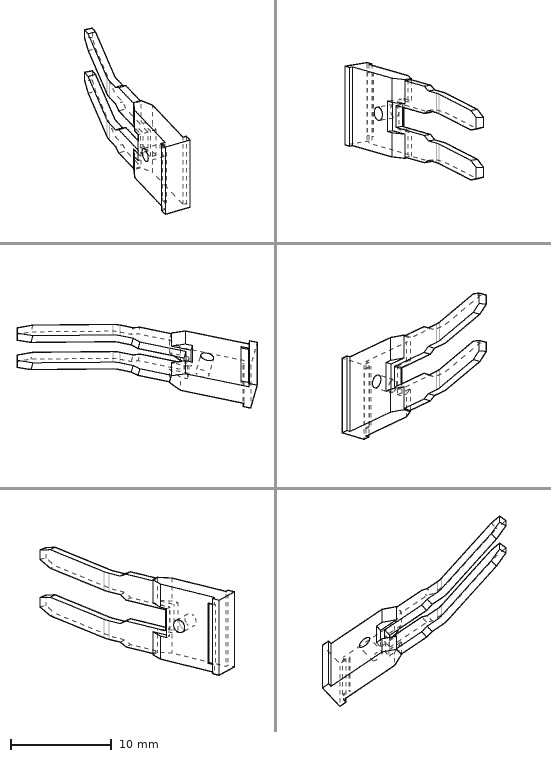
import cadquery as cq
import math

length = 23.7
height = 8.0

body_thickness = 2.01
flange_thickness = 2.77
flange_x = 22.9
taper_start_x = 15.14
taper_end_x = 16.45
notch_end_x = 17.15
hole_x = 18.67
hole_diameter = 1.33

recess_x = 22.13
recess_height = 6.4
recess_depth = 0.15

plate_thickness = 0.8
plate_y = -0.035
slot_end_x = 16.63
shoulder_x = 11.95
shoulder_length = 0.69
wide_outer_z = 3.89
wide_inner_z = 1.11
prong_outer_z = 3.53
prong_inner_z = 1.55
tip_length = 1.52
tip_half_height = 0.5
bend_start_x = 9.93
bend_end_x = 9.22
bend_angle = math.radians(14.2)


def extrude_along_y(outline):
    """Extrude an XZ outline well past both sides of the part."""
    reach = length
    return cq.Workplane("XZ").polyline(outline).close().extrude(reach, both=True)


def make_body():
    half_body = body_thickness / 2
    half_flange = flange_thickness / 2
    front_y = plate_y - plate_thickness / 2
    back_y = plate_y + plate_thickness / 2
    outline = [
        (taper_start_x, front_y),
        (taper_end_x, -half_body),
        (flange_x, -half_body),
        (flange_x, -half_flange),
        (length, -half_flange),
        (length, half_flange),
        (flange_x, half_flange),
        (flange_x, half_body),
        (taper_end_x, half_body),
        (taper_start_x, back_y),
    ]
    body = cq.Workplane("XY").polyline(outline).close().extrude(height / 2, both=True)

    notch = cq.Workplane("XY").box(2 * (notch_end_x - taper_start_x), body_thickness, 2 * prong_inner_z)
    body = body.cut(notch.translate((taper_start_x, 0, 0)))

    recess = cq.Workplane("XY").box(flange_x - recess_x, 2 * recess_depth, recess_height)
    return body.cut(recess.translate(((recess_x + flange_x) / 2, -half_body, 0)))


def make_bent_strip():
    """Plate thickness profile: flat, then a bend, then a straight sloping arm."""
    outer_radius = (bend_start_x - bend_end_x) / math.sin(bend_angle)
    inner_radius = outer_radius - plate_thickness
    front_y = plate_y - plate_thickness / 2
    centre_y = front_y + outer_radius
    arm_length = bend_end_x / math.cos(bend_angle)

    def on_bend(radius, angle):
        return (bend_start_x - radius * math.sin(angle), centre_y - radius * math.cos(angle))

    def at_tip(radius):
        x, y = on_bend(radius, bend_angle)
        return (x - arm_length * math.cos(bend_angle), y + arm_length * math.sin(bend_angle))

    return (
        cq.Workplane("XY")
        .moveTo(flange_x, front_y)
        .lineTo(bend_start_x, front_y)
        .threePointArc(on_bend(outer_radius, bend_angle / 2), on_bend(outer_radius, bend_angle))
        .lineTo(*at_tip(outer_radius))
        .lineTo(*at_tip(inner_radius))
        .lineTo(*on_bend(inner_radius, bend_angle))
        .threePointArc(on_bend(inner_radius, bend_angle / 2), on_bend(inner_radius, 0))
        .lineTo(flange_x, front_y + plate_thickness)
        .close()
        .extrude(height / 2, both=True)
    )


def make_plate():
    prong_z = (prong_outer_z + prong_inner_z) / 2
    upper_half = [
        (0, prong_z - tip_half_height),
        (0, prong_z + tip_half_height),
        (tip_length, prong_outer_z),
        (shoulder_x - shoulder_length, prong_outer_z),
        (shoulder_x, wide_outer_z),
        (flange_x, wide_outer_z),
        (flange_x, 0),
        (slot_end_x, 0),
        (slot_end_x, wide_inner_z),
        (shoulder_x, wide_inner_z),
        (shoulder_x - shoulder_length, prong_inner_z),
        (tip_length, prong_inner_z),
    ]
    lower_half = [(x, -z) for x, z in upper_half]
    face_shape = extrude_along_y(upper_half).union(extrude_along_y(lower_half))
    return make_bent_strip().intersect(face_shape)


hole = cq.Workplane("XZ").center(hole_x, 0).circle(hole_diameter / 2).extrude(body_thickness, both=True)
result = make_body().union(make_plate()).cut(hole)